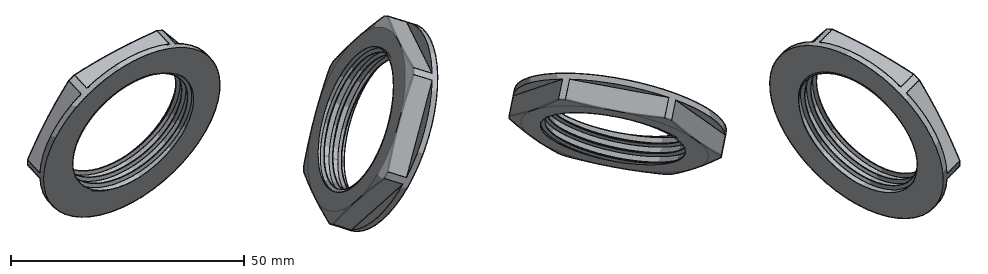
import cadquery as cq
import math

thickness = 6.52
flange_thickness = 1.4
outer_diameter = 46.37
across_flats = 41.0

chamfer_angle = 10.0
chamfer_edge_radius = 0.15
cone_overrun = 0.2

bore_diameter = 32.46
crest_diameter = 30.9
pitch = 2.17
ridge_root_width = 0.95
ridge_crest_width = 0.13
ridge_start_angle = 190.0
ridge_embed = 0.3

outer_radius = outer_diameter / 2
flat_radius = across_flats / 2
bore_radius = bore_diameter / 2
crest_radius = crest_diameter / 2
across_corners = across_flats / math.cos(math.radians(30))


def x_cylinder(diameter, start, length):
    return cq.Workplane("YZ").workplane(offset=start).circle(diameter / 2).extrude(length)


def chamfer_envelope(front):
    """Turned outline whose cone meets x = 0 at the circle touching the flats."""
    corner_depth = (outer_radius - flat_radius) * math.tan(math.radians(chamfer_angle))
    return (
        cq.Workplane("XY")
        .moveTo(front, 0)
        .lineTo(front, flat_radius - cone_overrun)
        .lineTo(corner_depth, outer_radius)
        .lineTo(thickness, outer_radius)
        .lineTo(thickness, 0)
        .close()
        .revolve(360, (0, 0, 0), (1, 0, 0))
    )


def hexagon():
    """Hexagon with a turned corner chamfer and rounded chamfer edges.

    The cone is first carried a little past x = 0, so that the rounding runs
    unbroken around all six sides, and the excess is then cut away.
    """
    front = -cone_overrun * math.tan(math.radians(chamfer_angle))
    prism = (
        cq.Workplane("YZ")
        .workplane(offset=front)
        .polygon(6, across_corners)
        .extrude(thickness - front)
    )
    blank = prism.intersect(chamfer_envelope(front))
    cone_edges = blank.faces("%CONE").edges("not(%LINE)").vals()
    rim = [edge for edge in cone_edges if edge.Center().x > 0]
    rounded = blank.newObject(rim).fillet(chamfer_edge_radius)
    return rounded.intersect(x_cylinder(across_corners, 0, thickness))


def flange():
    return x_cylinder(outer_diameter, thickness - flange_thickness, flange_thickness)


def thread_ridge():
    """Ridge swept along Z one pitch past both faces, turned onto X and trimmed to the nut."""
    flank_slope = (ridge_root_width - ridge_crest_width) / 2 / (bore_radius - crest_radius)
    foot_radius = bore_radius + ridge_embed
    half_foot = ridge_root_width / 2 + ridge_embed * flank_slope
    half_crest = ridge_crest_width / 2
    profile = [
        (foot_radius, -half_foot),
        (foot_radius, half_foot),
        (crest_radius, half_crest),
        (crest_radius, -half_crest),
    ]
    helix = cq.Wire.makeHelix(pitch, thickness + 2 * pitch, bore_radius)
    ridge = (
        cq.Workplane("XZ")
        .polyline(profile)
        .close()
        .sweep(cq.Workplane(obj=helix), isFrenet=True)
        .translate((0, 0, -pitch))
        .rotate((0, 0, 0), (0, 0, 1), ridge_start_angle)
    )
    ridge_on_x = ridge.rotate((0, 0, 0), (1, 1, 1), 120)
    return ridge_on_x.intersect(x_cylinder(outer_diameter, 0, thickness))


bore = x_cylinder(bore_diameter, 0, thickness)
result = hexagon().union(flange()).cut(bore).union(thread_ridge())